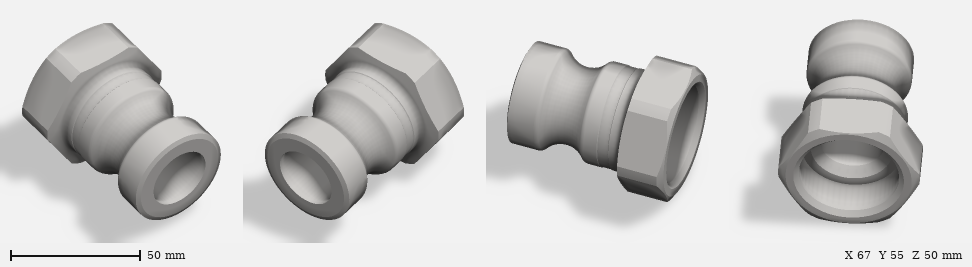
import cadquery as cq
import math

length = 67.0

across_flats = 50.0
corner_diameter = 55.0
front_face_diameter = 49.0
front_chamfer_angle = 30.0
back_slope_angle = 15.0

body_radius = 41.0 / 2
root_fillet = 2.0
root_fillet_end = 21.6
band_radius = 40.5 / 2
band_depth = body_radius - band_radius
band_start = 24.4
band_end = 29.3
end_chamfer_length = 0.8
end_chamfer_depth = 1.95

groove_center = 45.0
groove_half_width = 10.3
groove_bottom_radius = 15.6
groove_lip_radius = 2.35

socket_diameter = 38.9
socket_mouth_diameter = 42.95
socket_mouth_depth = 2.0
socket_depth = 15.9
bore_cone_diameter = 31.9
bore_cone_length = 3.5
bore_diameter = 25.0


def revolve_about_x(profile):
    """Turn a closed (x, radius) profile around the X axis."""
    return profile.close().revolve(360, (0, 0, 0), (1, 0, 0))


slope = math.radians(back_slope_angle)
root_center_x = root_fillet_end
root_center_r = body_radius + root_fillet


def root_point(angle):
    return (
        root_center_x - root_fillet * math.cos(angle),
        root_center_r - root_fillet * math.sin(angle),
    )


root_start = root_point(slope)
root_middle = root_point((slope + math.pi / 2) / 2)


def make_nut():
    corner_radius = corner_diameter / 2
    face_radius = front_face_diameter / 2
    chamfer_length = (corner_radius - face_radius) * math.tan(math.radians(front_chamfer_angle))
    slope_length = (corner_radius - root_start[1]) * math.tan(slope)
    hexagon = (
        cq.Workplane("YZ")
        .polygon(6, across_flats / math.cos(math.pi / 6))
        .extrude(root_start[0])
    )
    envelope = revolve_about_x(
        cq.Workplane("XY")
        .moveTo(0, 0)
        .lineTo(0, face_radius)
        .lineTo(chamfer_length, corner_radius)
        .lineTo(root_start[0] - slope_length, corner_radius)
        .lineTo(*root_start)
        .lineTo(root_start[0], 0)
    )
    return hexagon.intersect(envelope)


def make_body():
    groove_depth = body_radius - groove_bottom_radius
    radius_sum = (groove_half_width**2 + groove_depth**2) / (2 * groove_depth)
    lip_center_r = body_radius - groove_lip_radius
    lip_angle = math.asin(groove_half_width / radius_sum)

    def lip_point(side, angle):
        return (
            groove_center + side * (groove_half_width - groove_lip_radius * math.sin(angle)),
            lip_center_r + groove_lip_radius * math.cos(angle),
        )

    lip_start = groove_center - groove_half_width
    lip_end = groove_center + groove_half_width
    return revolve_about_x(
        cq.Workplane("XY")
        .moveTo(0, 0)
        .lineTo(0, body_radius)
        .lineTo(root_start[0], body_radius)
        .lineTo(*root_start)
        .threePointArc(root_middle, (root_fillet_end, body_radius))
        .lineTo(band_start, body_radius)
        .lineTo(band_start + band_depth, band_radius)
        .lineTo(band_end - band_depth, band_radius)
        .lineTo(band_end, body_radius)
        .lineTo(lip_start, body_radius)
        .threePointArc(lip_point(-1, lip_angle / 2), lip_point(-1, lip_angle))
        .threePointArc((groove_center, groove_bottom_radius), lip_point(1, lip_angle))
        .threePointArc(lip_point(1, lip_angle / 2), (lip_end, body_radius))
        .lineTo(length - end_chamfer_length, body_radius)
        .lineTo(length, body_radius - end_chamfer_depth)
        .lineTo(length, 0)
    )


def make_bore():
    return revolve_about_x(
        cq.Workplane("XY")
        .moveTo(0, 0)
        .lineTo(0, socket_mouth_diameter / 2)
        .lineTo(socket_mouth_depth, socket_diameter / 2)
        .lineTo(socket_depth, socket_diameter / 2)
        .lineTo(socket_depth, bore_cone_diameter / 2)
        .lineTo(socket_depth + bore_cone_length, bore_diameter / 2)
        .lineTo(length, bore_diameter / 2)
        .lineTo(length, 0)
    )


result = make_nut().union(make_body()).cut(make_bore())